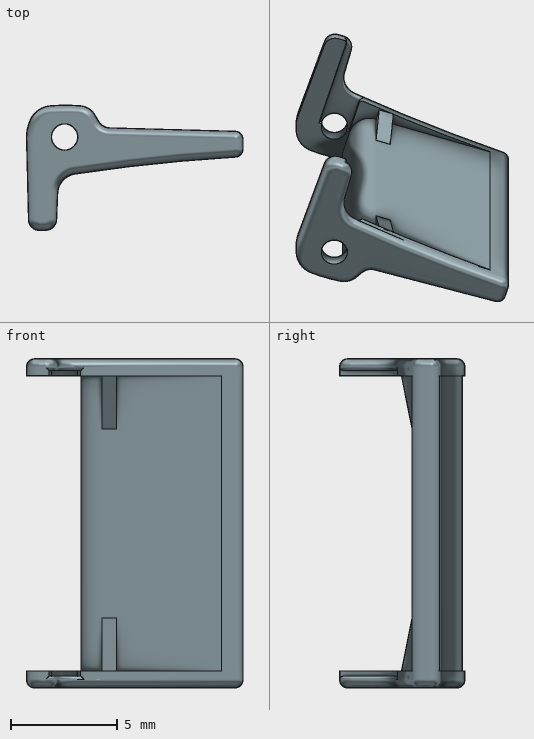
import cadquery as cq
import math


height = 15.5
plate_thickness = 0.8
rim_fillet = 0.39
inner_half_height = height / 2 - plate_thickness

beyond = height
tolerance = 0.002

bore_diameter = 1.22
relief_half_width = 0.75
relief_depth = 0.25
relief_exit_fillet = 0.15

arm_bottom = -4.4
blade_tip = 8.4
blade_tip_top = 0.26
blade_tip_bottom = -0.93
arm_tip_left = (-1.7, -3.88)
arm_tip_flat_start = -1.18
arm_tip_flat_end = -0.9
arm_tip_right = (-0.37, -3.88)
back_side_low = (-1.8, -0.06)
back_side_high = (-1.63, 0.79)
shoulder_start = (-0.67, 1.47)
shoulder_middle = (0.03, 1.5)
shoulder_end = (0.75, 1.47)
neck_convex_end = (1.43, 1.04)
neck_concave_start = (1.61, 0.73)
neck_end = (2.12, 0.43)
blade_root = (0.45, -1.75)
blade_middle = (4.32, -1.25)
inner_corner_middle = (-0.06, -2.03)
inner_corner_end = (-0.33, -2.71)

panel_left = 0.76
panel_round = 0.99
panel_front = -panel_round
panel_right = 7.38
panel_back_fillet = 0.25

gusset_width = 0.7
gusset_length = 2.5
gusset_depth = 0.5
gusset_left = panel_left + panel_round


def outline_prism(half_height):
    """Side outline extruded symmetrically about Z = 0, with a sharp blade tip."""
    return (
        cq.Workplane("XY")
        .workplane(offset=-half_height)
        .moveTo(*arm_tip_left)
        .lineTo(*back_side_low)
        .tangentArcPoint(back_side_high, relative=False)
        .tangentArcPoint(shoulder_start, relative=False)
        .threePointArc(shoulder_middle, shoulder_end)
        .tangentArcPoint(neck_convex_end, relative=False)
        .lineTo(*neck_concave_start)
        .tangentArcPoint(neck_end, relative=False)
        .lineTo(blade_tip, blade_tip_top)
        .lineTo(blade_tip, blade_tip_bottom)
        .threePointArc(blade_middle, blade_root)
        .threePointArc(inner_corner_middle, inner_corner_end)
        .lineTo(*arm_tip_right)
        .tangentArcPoint((arm_tip_flat_end, arm_bottom), relative=False)
        .lineTo(arm_tip_flat_start, arm_bottom)
        .tangentArcPoint(arm_tip_left, relative=False)
        .close()
        .extrude(2 * half_height)
    )


def block(x_min, x_max, y_min, y_max, half_height):
    """Box between the given X and Y limits, symmetric about Z = 0."""
    size = (x_max - x_min, y_max - y_min, 2 * half_height)
    center = ((x_min + x_max) / 2, (y_min + y_max) / 2, 0)
    return cq.Workplane("XY").box(*size).translate(center)


def relief_exit_edges(frame, relief_half_height):
    """Edges where the floors and side walls of both reliefs break out through the side outline."""
    exit_edges = []
    for edge in frame.edges().vals():
        middle = edge.Center()
        on_floor = math.isclose(abs(middle.z), relief_half_height, abs_tol=tolerance)
        on_wall = math.isclose(abs(middle.x), relief_half_width, abs_tol=tolerance)
        within_depth = inner_half_height + tolerance < abs(middle.z) < relief_half_height + tolerance
        if middle.y < -relief_half_width and within_depth and on_floor != on_wall:
            exit_edges.append(edge)
    return exit_edges


def make_frame():
    """Two end plates joined by the strip along the blade tip."""
    frame = outline_prism(height / 2)
    blade_tip_edges = frame.faces(">X").edges("|Z")
    frame = frame.faces("|Z").edges().add(blade_tip_edges).fillet(rim_fillet)
    window = block(-beyond, panel_right, -beyond, beyond, inner_half_height)
    bore = cq.Workplane("XY").circle(bore_diameter / 2).extrude(beyond, both=True)
    relief_half_height = inner_half_height + relief_depth
    relief = block(-relief_half_width, relief_half_width, -beyond, 0, relief_half_height)
    frame = frame.cut(window).cut(bore).cut(relief)
    return frame.newObject(relief_exit_edges(frame, relief_half_height)).fillet(relief_exit_fillet)


def make_panel():
    """Flat panel with a rounded front and back edge beside the bore."""
    envelope = block(panel_left, panel_right, panel_front, beyond, inner_half_height)
    envelope = envelope.edges("|Z and <X and <Y").fillet(panel_round)
    panel = outline_prism(inner_half_height).intersect(envelope)
    return panel.edges("|Z").edges("<X").edges(">Y").fillet(panel_back_fillet)


def make_gusset(side):
    """Wedge from the panel to the end plate on the given side, 1 for top and -1 for bottom."""
    base = side * inner_half_height
    return (
        cq.Workplane("YZ")
        .workplane(offset=gusset_left)
        .moveTo(panel_front, base)
        .lineTo(panel_front - gusset_depth, base)
        .lineTo(panel_front, base - side * gusset_length)
        .close()
        .extrude(gusset_width)
    )


frame = make_frame()
panel = make_panel()
gussets = [make_gusset(side) for side in (1, -1)]

result = cq.Compound.makeCompound([frame.val(), panel.val(), *[gusset.val() for gusset in gussets]])